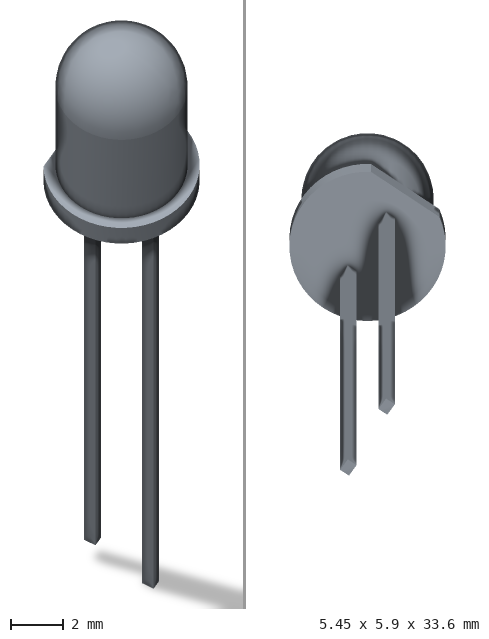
import cadquery as cq

total_height = 33.58
lens_diameter = 5.0
flange_diameter = 5.9
flange_thickness = 1.0
body_height = 8.55
lead_width = 0.5
lead_depth = 0.4
lead_pitch = 2.55
lead_length_difference = 1.0
lead_embed = 0.35

lens_radius = lens_diameter / 2
flange_radius = flange_diameter / 2
long_lead_length = total_height - body_height
short_lead_length = long_lead_length - lead_length_difference


def make_lens():
    """Cylinder with a hemispherical top, standing on the flange underside (Z = 0)."""
    dome_base = body_height - lens_radius
    cylinder = cq.Workplane("XY").circle(lens_radius).extrude(dome_base)
    dome = cq.Workplane("XY").sphere(lens_radius).translate((0, 0, dome_base))
    return cylinder.union(dome)


def make_flange():
    """Disc cut flat on the -X side, flush with the lens wall."""
    disc = cq.Workplane("XY").circle(flange_radius).extrude(flange_thickness)
    keep = cq.Workplane("XY").box(
        lens_radius + flange_radius, flange_diameter, flange_thickness, centered=(False, True, False)
    )
    return disc.intersect(keep.translate((-lens_radius, 0, 0)))


def make_lead(x, length):
    """Rectangular lead hanging below the flange."""
    lead = cq.Workplane("XY").box(
        lead_width, lead_depth, length + lead_embed, centered=(True, True, False)
    )
    return lead.translate((x, 0, -length))


result = make_lens().union(make_flange())
result = result.union(make_lead(-lead_pitch / 2, short_lead_length))
result = result.union(make_lead(lead_pitch / 2, long_lead_length))